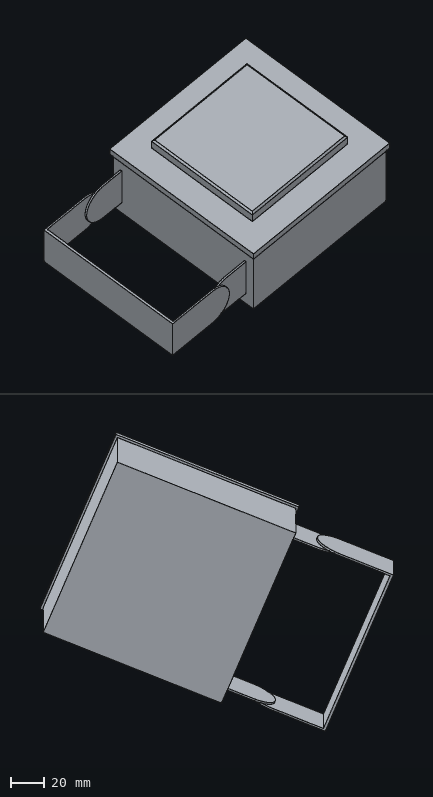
import cadquery as cq

lid_side = 120.0
lid_thickness = 5.0
body_side = 117.0
body_height = 50.0
body_front = -body_side / 2

pad_side = 84.0
pad_height = 7.5
pad_chamfer = 1.3

bracket_width = 107.4
bracket_height = 30.0
bracket_center_z = body_height / 2
bracket_front = lid_side / 2 - 184.5
arm_length = 50.0
arm_thickness = 1.3
crossbar_thickness = 1.8

lug_thickness = 1.3
left_lug_length = 31.0
right_lug_length = 32.3


def centered_block(side, height, base_z):
    return cq.Workplane("XY").workplane(offset=base_z).rect(side, side).extrude(height)


def rounded_strip(start_x, thickness, square_end, round_end):
    """Upright strip along Y with one square end and one semicircular end."""
    radius = bracket_height / 2
    toward_square = 1 if square_end > round_end else -1
    arc_start = round_end + toward_square * radius
    bottom = bracket_center_z - radius
    top = bracket_center_z + radius
    return (
        cq.Workplane("YZ", origin=(start_x, 0, 0))
        .moveTo(square_end, bottom)
        .lineTo(arc_start, bottom)
        .threePointArc((round_end, bracket_center_z), (arc_start, top))
        .lineTo(square_end, top)
        .close()
        .extrude(thickness)
    )


def make_housing():
    lid_top = body_height + lid_thickness
    body = centered_block(body_side, body_height, 0)
    lid = centered_block(lid_side, lid_thickness, body_height)
    pad = centered_block(pad_side, pad_height, lid_top).faces(">Z").chamfer(pad_chamfer)
    return body.union(lid).union(pad)


def make_lugs():
    outer_x = bracket_width / 2 - arm_thickness
    left = rounded_strip(-outer_x, lug_thickness, body_front, body_front - left_lug_length)
    right = rounded_strip(
        outer_x - lug_thickness, lug_thickness, body_front, body_front - right_lug_length
    )
    return left.union(right)


def make_bracket():
    outer_x = bracket_width / 2
    arm_tip = bracket_front + arm_length
    crossbar = cq.Workplane("XY").box(
        bracket_width, crossbar_thickness, bracket_height
    ).translate((0, bracket_front + crossbar_thickness / 2, bracket_center_z))
    bracket = crossbar
    for start_x in (-outer_x, outer_x - arm_thickness):
        bracket = bracket.union(rounded_strip(start_x, arm_thickness, bracket_front, arm_tip))
    return bracket


result = make_housing().union(make_lugs()).union(make_bracket())